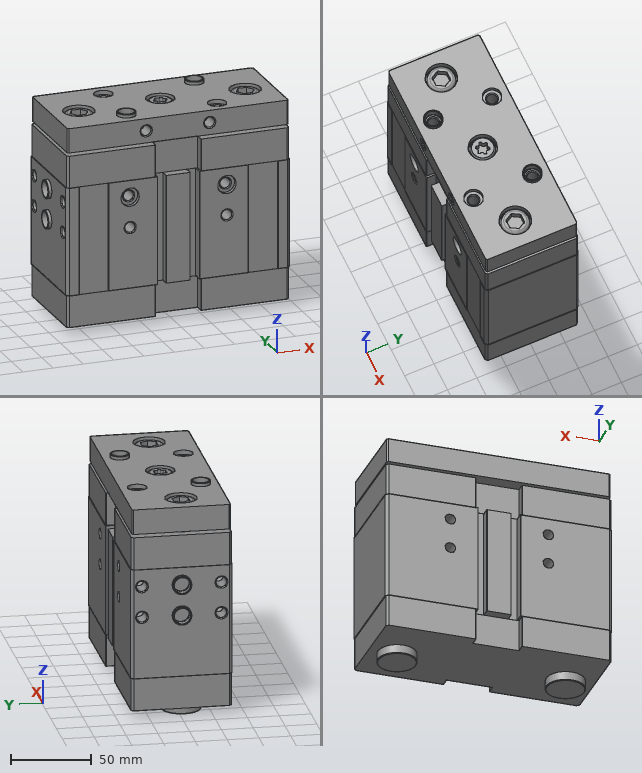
import cadquery as cq
import math

ROD_END_LENGTH = 6.0
CAP_HEIGHT = 21.0
BARREL_HEIGHT = 71.0
PLATE_GAP = 2.0
PLATE_THICKNESS = 16.0

END_CAP_BASE = ROD_END_LENGTH
BARREL_BASE = END_CAP_BASE + CAP_HEIGHT
BEARING_CAP_BASE = BARREL_BASE + BARREL_HEIGHT
BEARING_CAP_TOP = BEARING_CAP_BASE + CAP_HEIGHT
PLATE_BASE = BEARING_CAP_TOP + PLATE_GAP
PLATE_TOP = PLATE_BASE + PLATE_THICKNESS

BARREL_LENGTH = 148.0
BARREL_WIDTH = 64.0
BARREL_CHAMFER = 2.0
CAP_LENGTH = BARREL_LENGTH - 1.0
CAP_WIDTH = BARREL_WIDTH - 1.0
CAP_CHAMFER = 1.5
PLATE_LENGTH = CAP_LENGTH - 1.0
PLATE_WIDTH = CAP_WIDTH - 1.0
PLATE_CHAMFER = 1.0

CAP_CHANNEL_WIDTH = 30.0
CAP_CHANNEL_DEPTH = 6.0
BARREL_CHANNEL_WIDTH = 27.6
BARREL_CHANNEL_DEPTH = 6.5
RIB_WIDTH = 16.0
CHANNEL_EDGE_BREAK = 0.3
RIB_SETBACK = 0.5
RECESS_INNER_X = 46.0
RECESS_OUTER_X = 66.0
RECESS_DEPTH = 0.5

GUIDE_ROD_DIAMETER = 25.0
GUIDE_ROD_SPACING = 110.0
GUIDE_ROD_Y = -3.0
GUIDE_ROD_CHAMFER = 0.5
PISTON_ROD_DIAMETER = 16.0

SCREW_POCKET_DIAMETER = 20.0
SCREW_POCKET_DEPTH = 4.0
SCREW_HEAD_DIAMETER = 18.0
SCREW_HEAD_SETBACK = 1.0
SCREW_HEAD_FILLET = 1.8
HEX_ACROSS_FLATS = 10.0
HEX_DEPTH = 4.0

CENTRE_POCKET_DIAMETER = 18.0
CENTRE_HEAD_DIAMETER = 16.0
CENTRE_HEAD_CHAMFER = 1.0
TORX_OUTER_DIAMETER = 8.8
TORX_INNER_DIAMETER = 6.35
TORX_LOBES = 6
TORX_DEPTH = 4.0

SLEEVE_DIAMETER = 12.0
SLEEVE_BORE = 10.2
SLEEVE_LENGTH = 5.0
SLEEVE_SEAT_DEPTH = 2.7
SLEEVE_CHAMFER = 0.3

TAP_DIAMETER = 6.65
TAP_MOUTH_DIAMETER = 8.0
TAP_MOUTH_DEPTH = (TAP_MOUTH_DIAMETER - TAP_DIAMETER) / 2
TAP_DEPTH = 12.0
DRILL_TIP_ANGLE = 118.0

UPPER_PORT_Z = 87.0
LOWER_PORT_Z = UPPER_PORT_Z - 20.0
FRONT_PORT_X = 32.0
SIDE_TAP_Y = 25.0
PLATE_TAP_X = 21.0
PLATE_TAP_Z = PLATE_BASE + PLATE_THICKNESS / 2
PLATE_HOLE_X = 30.0
PLATE_HOLE_Y = 20.0

UP = cq.Vector(0, 0, 1)
FRONT = cq.Vector(0, -1, 0)
LEFT = cq.Vector(-1, 0, 0)


def block(length, width, base, height, chamfer):
    """Upright block centred on Z with chamfered vertical corners."""
    body = cq.Workplane("XY").workplane(offset=base).rect(length, width).extrude(height)
    return body.edges("|Z").chamfer(chamfer)


def channel_cutter(width, depth, face_y, base, height):
    """Upright cutter for a central channel in the +Y face, with chamfered rims."""
    half_floor = width / 2
    half_mouth = half_floor + CHANNEL_EDGE_BREAK
    rim_y = face_y - CHANNEL_EDGE_BREAK
    outline = [
        (half_mouth, face_y),
        (half_floor, rim_y),
        (half_floor, face_y - depth),
        (-half_floor, face_y - depth),
        (-half_floor, rim_y),
        (-half_mouth, face_y),
    ]
    return cq.Workplane("XY").workplane(offset=base).polyline(outline).close().extrude(height)


def cylinder(diameter, base, height, x=0.0, y=0.0):
    return cq.Workplane("XY").workplane(offset=base).center(x, y).circle(diameter / 2).extrude(height)


def drill(diameter, depth, mouth, outward):
    """Cylindrical cutter that sinks from the mouth point against the outward direction."""
    return cq.Workplane(obj=cq.Solid.makeCylinder(diameter / 2, depth, mouth, outward * -1))


def countersink(mouth, outward):
    """Conical cutter for the widened mouth of a tapped hole."""
    cone = cq.Solid.makeCone(
        TAP_MOUTH_DIAMETER / 2, TAP_DIAMETER / 2, TAP_MOUTH_DEPTH, mouth, outward * -1
    )
    return cq.Workplane(obj=cone)


def blind_tap(mouth, outward):
    """Tapped-hole cutter with a countersunk mouth and a conical drill tip."""
    tip_height = TAP_DIAMETER / 2 / math.tan(math.radians(DRILL_TIP_ANGLE / 2))
    tip_base = mouth - outward * TAP_DEPTH
    tip = cq.Solid.makeCone(TAP_DIAMETER / 2, 0, tip_height, tip_base, outward * -1)
    return drill(TAP_DIAMETER, TAP_DEPTH, mouth, outward).union(countersink(mouth, outward)).union(tip)


def through_tap(mouth, outward, length):
    """Tapped-hole cutter with a countersunk mouth that passes right through."""
    return drill(TAP_DIAMETER, length, mouth, outward).union(countersink(mouth, outward))


def seated_tap(mouth, outward, length):
    """Through tapped hole below a flat seat for a centring sleeve."""
    seat = drill(SLEEVE_DIAMETER, SLEEVE_SEAT_DEPTH, mouth, outward)
    floor = mouth - outward * SLEEVE_SEAT_DEPTH
    return seat.union(through_tap(floor, outward, length - SLEEVE_SEAT_DEPTH))


GUIDE_ROD_CENTRES = [(side * GUIDE_ROD_SPACING / 2, GUIDE_ROD_Y) for side in (-1, 1)]
PLATE_SEATS = [
    cq.Vector(x, y, PLATE_TOP)
    for x in (-PLATE_HOLE_X, PLATE_HOLE_X)
    for y in (-PLATE_HOLE_Y, PLATE_HOLE_Y)
]
PLATE_SLEEVE_SEATS = [seat for seat in PLATE_SEATS if seat.x * seat.y > 0]
BARREL_SLEEVE_SEATS = [cq.Vector(-BARREL_LENGTH / 2, 0, z) for z in (LOWER_PORT_Z, UPPER_PORT_Z)]


def bore_for_guide_rods(body, base, height):
    for x, y in GUIDE_ROD_CENTRES:
        body = body.cut(cylinder(GUIDE_ROD_DIAMETER, base, height, x, y))
    return body


def make_cap(base):
    """Cap with a central channel in both long faces and two guide rod bores."""
    cap = block(CAP_LENGTH, CAP_WIDTH, base, CAP_HEIGHT, CAP_CHAMFER)
    channel = channel_cutter(CAP_CHANNEL_WIDTH, CAP_CHANNEL_DEPTH, CAP_WIDTH / 2, base, CAP_HEIGHT)
    cap = cap.cut(channel).cut(channel.mirror("XZ"))
    return bore_for_guide_rods(cap, base, CAP_HEIGHT)


def make_bearing_cap():
    piston_bore = cylinder(PISTON_ROD_DIAMETER, BEARING_CAP_BASE, CAP_HEIGHT)
    return make_cap(BEARING_CAP_BASE).cut(piston_bore)


def barrel_channel():
    """Central channel of one long face with the rib left standing in it."""
    face_y = BARREL_WIDTH / 2
    channel = channel_cutter(
        BARREL_CHANNEL_WIDTH, BARREL_CHANNEL_DEPTH, face_y, BARREL_BASE, BARREL_HEIGHT
    )
    rib_height = BARREL_CHANNEL_DEPTH - RIB_SETBACK
    rib = (
        cq.Workplane("XY")
        .workplane(offset=BARREL_BASE)
        .center(0, face_y - BARREL_CHANNEL_DEPTH + rib_height / 2)
        .rect(RIB_WIDTH, rib_height)
        .extrude(BARREL_HEIGHT)
        .edges("|Z and >Y")
        .chamfer(CHANNEL_EDGE_BREAK)
    )
    return channel.cut(rib)


def barrel_recess():
    """Shallow recess beside the channel, with both its walls sloped at 45 degrees."""
    face_y = -BARREL_WIDTH / 2
    floor_y = face_y + RECESS_DEPTH
    return (
        cq.Workplane("XY")
        .workplane(offset=BARREL_BASE)
        .moveTo(RECESS_INNER_X, face_y)
        .lineTo(RECESS_INNER_X + RECESS_DEPTH, floor_y)
        .lineTo(RECESS_OUTER_X - RECESS_DEPTH, floor_y)
        .lineTo(RECESS_OUTER_X, face_y)
        .close()
        .extrude(BARREL_HEIGHT)
    )


def make_barrel():
    barrel = block(BARREL_LENGTH, BARREL_WIDTH, BARREL_BASE, BARREL_HEIGHT, BARREL_CHAMFER)
    barrel = barrel.cut(barrel_channel()).cut(barrel_channel().mirror("XZ"))
    barrel = barrel.cut(barrel_recess()).cut(barrel_recess().mirror("YZ"))
    barrel = bore_for_guide_rods(barrel, BARREL_BASE, BARREL_HEIGHT)

    for x in (-FRONT_PORT_X, FRONT_PORT_X):
        upper_mouth = cq.Vector(x, -BARREL_WIDTH / 2, UPPER_PORT_Z)
        lower_mouth = cq.Vector(x, -BARREL_WIDTH / 2, LOWER_PORT_Z)
        barrel = barrel.cut(seated_tap(upper_mouth, FRONT, BARREL_WIDTH))
        barrel = barrel.cut(through_tap(lower_mouth, FRONT, BARREL_WIDTH))

    for z in (LOWER_PORT_Z, UPPER_PORT_Z):
        for y in (-SIDE_TAP_Y, SIDE_TAP_Y):
            barrel = barrel.cut(blind_tap(cq.Vector(-BARREL_LENGTH / 2, y, z), LEFT))

    for seat in BARREL_SLEEVE_SEATS:
        barrel = barrel.cut(drill(SLEEVE_DIAMETER, SLEEVE_SEAT_DEPTH, seat, LEFT))
    return barrel


def guide_rod(x, y):
    return cylinder(GUIDE_ROD_DIAMETER, 0, PLATE_BASE, x, y).faces("<Z").chamfer(GUIDE_ROD_CHAMFER)


def screw_head(diameter):
    """Plain round head standing on the floor of its pocket in the plate."""
    return cylinder(diameter, PLATE_TOP - SCREW_POCKET_DEPTH, SCREW_POCKET_DEPTH - SCREW_HEAD_SETBACK)


def hex_screw_head():
    head = screw_head(SCREW_HEAD_DIAMETER).faces(">Z").edges().fillet(SCREW_HEAD_FILLET)
    across_corners = HEX_ACROSS_FLATS / math.cos(math.pi / 6)
    socket = (
        cq.Workplane("XY")
        .workplane(offset=PLATE_TOP - SCREW_HEAD_SETBACK - HEX_DEPTH)
        .polygon(6, across_corners)
        .extrude(HEX_DEPTH)
    )
    return head, socket


def torx_screw_head():
    head = screw_head(CENTRE_HEAD_DIAMETER).faces(">Z").chamfer(CENTRE_HEAD_CHAMFER)
    mean_radius = (TORX_OUTER_DIAMETER + TORX_INNER_DIAMETER) / 4
    quarter_pitch = math.pi / TORX_LOBES / 2

    def polar(radius, angle):
        return radius * math.cos(angle), radius * math.sin(angle)

    outline = (
        cq.Workplane("XY")
        .workplane(offset=PLATE_TOP - SCREW_HEAD_SETBACK - TORX_DEPTH)
        .moveTo(*polar(mean_radius, -quarter_pitch))
    )
    for lobe in range(TORX_LOBES):
        tip_angle = lobe * 4 * quarter_pitch
        valley_angle = tip_angle + 2 * quarter_pitch
        outline = outline.threePointArc(
            polar(TORX_OUTER_DIAMETER / 2, tip_angle), polar(mean_radius, tip_angle + quarter_pitch)
        )
        outline = outline.threePointArc(
            polar(TORX_INNER_DIAMETER / 2, valley_angle), polar(mean_radius, valley_angle + quarter_pitch)
        )
    socket = outline.close().extrude(TORX_DEPTH)
    return head, socket


def fit_screw(plate, pocket_diameter, head_and_socket, x=0.0, y=0.0):
    """Sink a pocket into the plate top, stand the head in it and cut its socket."""
    head, socket = head_and_socket
    pocket = cylinder(pocket_diameter, PLATE_TOP - SCREW_POCKET_DEPTH, SCREW_POCKET_DEPTH, x, y)
    return plate.cut(pocket).union(head.translate((x, y, 0))).cut(socket.translate((x, y, 0)))


def make_yoke():
    yoke = block(PLATE_LENGTH, PLATE_WIDTH, PLATE_BASE, PLATE_THICKNESS, PLATE_CHAMFER)
    yoke = yoke.union(cylinder(PISTON_ROD_DIAMETER, BEARING_CAP_BASE, PLATE_BASE - BEARING_CAP_BASE))
    yoke = fit_screw(yoke, CENTRE_POCKET_DIAMETER, torx_screw_head())
    for x, y in GUIDE_ROD_CENTRES:
        yoke = yoke.union(guide_rod(x, y))
        yoke = fit_screw(yoke, SCREW_POCKET_DIAMETER, hex_screw_head(), x, y)

    for seat in PLATE_SEATS:
        yoke = yoke.cut(seated_tap(seat, UP, PLATE_THICKNESS))
    for x in (-PLATE_TAP_X, PLATE_TAP_X):
        yoke = yoke.cut(blind_tap(cq.Vector(x, -PLATE_WIDTH / 2, PLATE_TAP_Z), FRONT))
    return yoke


def make_sleeve(seat, outward):
    """Sleeve standing on the floor of its seat, chamfered on both outer rims."""
    plane = cq.Plane(origin=seat - outward * SLEEVE_SEAT_DEPTH, normal=outward)
    bush = cq.Workplane(plane).circle(SLEEVE_DIAMETER / 2).extrude(SLEEVE_LENGTH)
    bush = bush.faces("|Z" if outward.z else "|X").edges().chamfer(SLEEVE_CHAMFER)
    bore = cq.Workplane(plane).circle(SLEEVE_BORE / 2).extrude(SLEEVE_LENGTH)
    return bush.cut(bore)


end_cap = make_cap(END_CAP_BASE)
barrel = make_barrel()
bearing_cap = make_bearing_cap()
yoke = make_yoke()
sleeves = [make_sleeve(seat, UP) for seat in PLATE_SLEEVE_SEATS]
sleeves += [make_sleeve(seat, LEFT) for seat in BARREL_SLEEVE_SEATS]

result = cq.Compound.makeCompound(
    [end_cap.val(), barrel.val(), bearing_cap.val(), yoke.val(), *[sleeve.val() for sleeve in sleeves]]
)